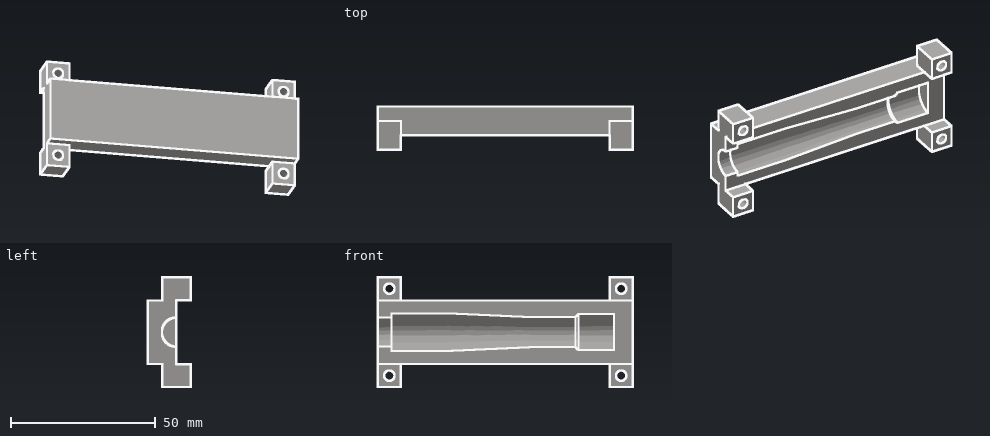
import cadquery as cq

length = 88.0
body_height = 22.0
body_depth = 10.0

lug_size = 8.0
lug_depth = 10.0
lug_overhang = 5.0
screw_hole_diameter = 3.5

entry_radius = 5.0
chamber_radius = 6.5
throat_radius = 5.2
socket_radius = 6.2
entry_end = 4.8
taper_start = 24.0
taper_end = 52.5
throat_end = 68.2
socket_start = 69.2
socket_end = 81.5


def make_body():
    return cq.Workplane("XY").box(length, body_depth, body_height, centered=(False, False, True))


def make_lug(x_start, side):
    """Drilled block at one corner; side is +1 above the body, -1 below it."""
    x_center = x_start + lug_size / 2
    z_center = side * (body_height + lug_size) / 2
    y_center = lug_depth / 2 - lug_overhang
    block = cq.Workplane("XY").box(lug_size, lug_depth, lug_size)
    hole = cq.Workplane("XZ").circle(screw_hole_diameter / 2).extrude(lug_depth, both=True)
    return block.cut(hole).translate((x_center, y_center, z_center))


def make_cavity():
    """Solid of revolution about the X axis that is cut from the body."""
    profile = (
        cq.Workplane("XY")
        .moveTo(0, 0)
        .lineTo(0, entry_radius)
        .lineTo(entry_end, entry_radius)
        .lineTo(entry_end, chamber_radius)
        .lineTo(taper_start, chamber_radius)
        .lineTo(taper_end, throat_radius)
        .lineTo(throat_end, throat_radius)
        .lineTo(socket_start, socket_radius)
        .lineTo(socket_end, socket_radius)
        .lineTo(socket_end, 0)
        .close()
    )
    return profile.revolve(360, (0, 0, 0), (1, 0, 0))


result = make_body().cut(make_cavity())
for lug_x in (0, length - lug_size):
    for lug_side in (1, -1):
        result = result.union(make_lug(lug_x, lug_side))